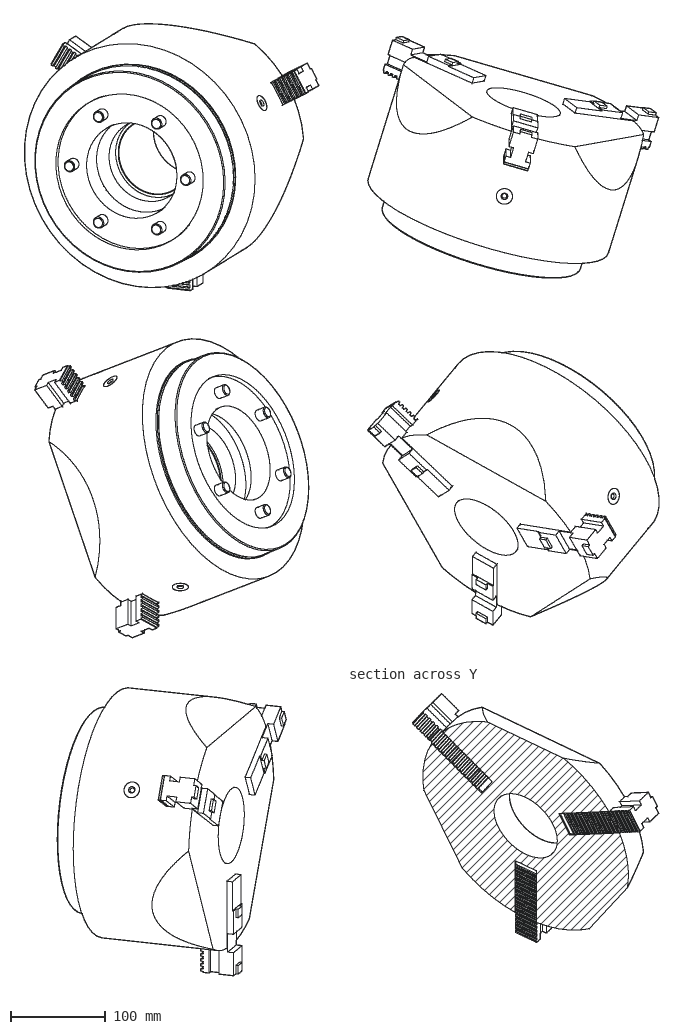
import cadquery as cq
import math


overall_height = 294.3
body_diameter = 265.5
body_length = 129.2
collar_diameter = 221.0
collar_length = 1.8
flange_diameter = 219.0
flange_end = 156.0
flange_chamfer = 1.2
recess_diameter = 169.5
recess_depth = 6.0

mouth_diameter = 104.0
mouth_depth = 26.2
chamber_diameter = 121.8
chamber_depth = 41.0
middle_bore_diameter = 88.0
middle_bore_depth = 58.3
through_bore_diameter = 81.0
through_bore_chamfer = 0.5

flat_angles = (90, 210, 330)
flat_face_radius = 109.0
flat_length = 46.5

stud_count = 6
stud_circle_radius = 66.8
stud_diameter = 12.0
stud_projection = 6.2
stud_chamfer = 1.03

port_depth_from_face = 70.0
port_seat_diameter = 17.0
port_seat_depth = 0.3
port_hole_diameter = 7.0
port_floor_diameter = 5.0
port_hole_depth = 1.8

jaw_angles = (30, 150, 270)
jaw_width = 26.8
jaw_inner_radius = 57.7
jaw_bottom = -26.8
pad_step_radius = 89.8
pad_outer_radius = 115.7
outer_block_radius = 136.0
pad_low_height = 6.2
pad_height = 7.5
bridge_height = 1.0
neck_width = 16.5
neck_top = -9.0
neck_bottom = -20.0
key_width = 12.7
key_length = 9.5
key_height = 2.6
tooth_length = 3.2
tooth_gap = 2.3
tooth_height = 2.6
tooth_flank = 0.5
tooth_end_margin = 1.0

body_radius = body_diameter / 2
jaw_outer_radius = overall_height - body_radius
recess_floor = flange_end - recess_depth
jaw_length = jaw_outer_radius - jaw_inner_radius
tooth_pitch = tooth_length + tooth_gap
tooth_tip = jaw_bottom - tooth_height


def turn_to(shape, angle):
    """Turn a shape that points along +X to the given angle from +X towards +Z."""
    return shape.rotate((0, 0, 0), (0, 1, 0), -angle)


def block(x_start, x_end, y_start, y_end, width):
    """Box between two X and two Y positions, centred on Z = 0."""
    return (
        cq.Workplane("XY", origin=(0, 0, -width / 2))
        .moveTo(x_start, y_start)
        .lineTo(x_end, y_start)
        .lineTo(x_end, y_end)
        .lineTo(x_start, y_end)
        .close()
        .extrude(width)
    )


def cylinder(diameter, y_start, y_end):
    """Cylinder on the Y axis between two Y positions."""
    return cq.Workplane("XZ", origin=(0, y_end, 0)).circle(diameter / 2).extrude(y_end - y_start)


def make_blank():
    """Body, collar and flange before the bore and the flats are cut."""
    collar_end = body_length + collar_length
    body = cylinder(body_diameter, -body_length, 0)
    collar = cylinder(collar_diameter, -collar_end, -body_length)
    flange = cylinder(flange_diameter, -flange_end, -collar_end).edges().chamfer(flange_chamfer)
    return body.union(collar).union(flange)


def cut_bore(housing):
    """Cut the mounting recess and the stepped through bore."""
    chamfer_radius = through_bore_diameter / 2 + through_bore_chamfer
    chamfer_start = middle_bore_depth - recess_floor
    steps = (
        (recess_diameter, -flange_end, -recess_floor),
        (mouth_diameter, -recess_floor, mouth_depth - recess_floor),
        (chamber_diameter, mouth_depth - recess_floor, chamber_depth - recess_floor),
        (middle_bore_diameter, chamber_depth - recess_floor, chamfer_start),
        (through_bore_diameter, chamfer_start, 0),
    )
    for diameter, y_start, y_end in steps:
        housing = housing.cut(cylinder(diameter, y_start, y_end))
    chamfer_cone = (
        cq.Workplane("XY")
        .moveTo(0, chamfer_start)
        .lineTo(chamfer_radius, chamfer_start)
        .lineTo(0, chamfer_start + chamfer_radius)
        .close()
        .revolve(360, (0, 0, 0), (0, 1, 0))
    )
    return housing.cut(chamfer_cone)


def cut_flats(housing):
    """Cut the three sloping flats beside the clamping face."""
    wedge = (
        cq.Workplane("XY", origin=(0, 0, -body_radius))
        .moveTo(flat_face_radius, 0)
        .lineTo(body_radius, -flat_length)
        .lineTo(body_radius, 0)
        .close()
        .extrude(body_diameter)
    )
    for angle in flat_angles:
        housing = housing.cut(turn_to(wedge, angle))
    return housing


def add_studs(housing):
    """Add the ring of studs that stand on the recess floor."""
    stud_end = flange_end + stud_projection
    stud = cylinder(stud_diameter, -stud_end, -recess_floor).faces("<Y").chamfer(stud_chamfer)
    stud = stud.translate((stud_circle_radius, 0, 0))
    for i in range(stud_count):
        housing = housing.union(turn_to(stud, i * 360 / stud_count))
    return housing


def cut_ports(housing):
    """Cut a flat seat and a tapered blind hole into the body below each jaw."""
    seat_radius = body_radius - port_seat_depth
    seat_plane = cq.Workplane("YZ", origin=(seat_radius, -port_depth_from_face, 0))
    seat = seat_plane.circle(port_seat_diameter / 2).extrude(2 * port_seat_depth)
    hole = (
        seat_plane.circle(port_hole_diameter / 2)
        .workplane(offset=-port_hole_depth)
        .circle(port_floor_diameter / 2)
        .loft()
    )
    for angle in jaw_angles:
        housing = housing.cut(turn_to(seat, angle)).cut(turn_to(hole, angle))
    return housing


def jaw_guide(outer_radius, bottom):
    """Part of a jaw below the clamping face, with a groove along each side."""
    guide = block(jaw_inner_radius, outer_radius, bottom, 0, jaw_width)
    groove = block(jaw_inner_radius, outer_radius, neck_bottom, neck_top, jaw_width)
    neck = block(jaw_inner_radius, outer_radius, neck_bottom, neck_top, neck_width)
    return guide.cut(groove.cut(neck))


def cut_jaw_slots(housing):
    """Cut the slots that hold the jaws and the teeth below them."""
    slot = jaw_guide(jaw_outer_radius, tooth_tip)
    for angle in jaw_angles:
        housing = housing.cut(turn_to(slot, angle))
    return housing


def make_housing():
    """Housing with its bore, flats, studs, ports and jaw slots."""
    housing = cut_bore(make_blank())
    housing = cut_flats(housing)
    housing = add_studs(housing)
    housing = cut_ports(housing)
    return cut_jaw_slots(housing)


def make_tooth(x_end):
    """Rack tooth with slightly sloping flanks; x_end is its outer edge at the root."""
    x_start = x_end - tooth_length
    return (
        cq.Workplane("XY", origin=(0, 0, -jaw_width / 2))
        .moveTo(x_start, jaw_bottom)
        .lineTo(x_start + tooth_flank, tooth_tip)
        .lineTo(x_end - tooth_flank, tooth_tip)
        .lineTo(x_end, jaw_bottom)
        .close()
        .extrude(jaw_width)
    )


def make_jaw():
    """One jaw pointing along +X."""
    jaw = jaw_guide(jaw_outer_radius, jaw_bottom)

    top_steps = (
        (jaw_inner_radius, pad_step_radius, pad_low_height),
        (pad_step_radius, pad_outer_radius, pad_height),
        (pad_outer_radius, outer_block_radius, bridge_height),
        (outer_block_radius, jaw_outer_radius, pad_height),
    )
    for x_start, x_end, height in top_steps:
        jaw = jaw.union(block(x_start, x_end, 0, height, jaw_width))

    for x_start in (pad_step_radius, jaw_outer_radius - key_length):
        x_end = x_start + key_length
        jaw = jaw.union(block(x_start, x_end, pad_height, pad_height + key_height, key_width))

    tooth_count = math.floor((jaw_length - tooth_end_margin) / tooth_pitch)
    for i in range(tooth_count):
        jaw = jaw.union(make_tooth(jaw_outer_radius - tooth_end_margin - i * tooth_pitch))
    return jaw


housing = make_housing()
jaw = make_jaw()
jaws = [turn_to(jaw, angle) for angle in jaw_angles]

result = cq.Compound.makeCompound([housing.val(), *[placed.val() for placed in jaws]])